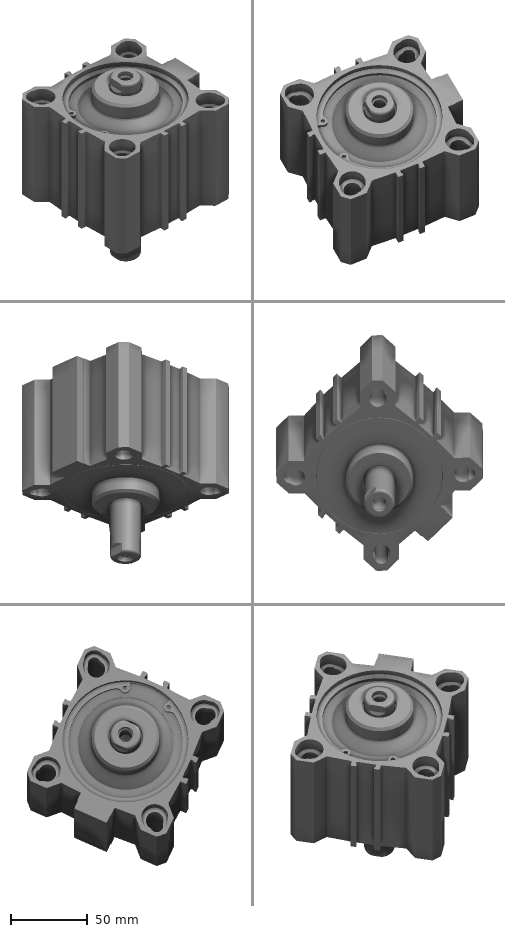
import cadquery as cq
import math

HOUSING_HEIGHT = 76.0
ROD_LENGTH = 142.0
ROD_BELOW = 48.0
HUB_HEIGHT = 10.1

HALF_WIDTH = 50.0
LOBE_CHAMFER = 4.8
LOBE_LENGTH = 11.5
LOBE_DEPTH = 7.2
WALL_FACE = 43.7
FLAT_HALF_WIDTH = 9.7

RAIL_TIP = 47.9
RAIL_STEM_INNER = 6.5
RAIL_LIP_INNER = 6.0
RAIL_LIP_THICKNESS = 2.0
RAIL_ROOT_OVERLAP = 0.7

BOSS_FACE = 55.0
BOSS_TAPER_END = 49.3
BOSS_ROOT_HALF_WIDTH = 12.0
BOSS_TIP_HALF_WIDTH = 11.6

BOLT_OFFSET = 38.5
BOLT_HOLE_DIAMETER = 11.5
BOLT_COUNTERBORE_DIAMETER = 17.5
BOLT_COUNTERBORE_DEPTH = 9.0
RELIEF_OFFSET = 41.2
RELIEF_DIAMETER = 8.4
RELIEF_COUNTERBORE_DIAMETER = 13.3

BORE_DIAMETER = 80.0
SEAT_DIAMETER = 82.1
RING_OUTER_DIAMETER = 85.6
RING_INNER_DIAMETER = 74.5
RING_TOP_DEPTH = 3.7
RING_THICKNESS = 2.4
RING_GAP_HALF_ANGLE = 20.4
LUG_X = 15.6
LUG_Y = -33.4
LUG_DIAMETER = 6.0
WEB_EDGE_Y = -31.2
LUG_HOLE_DIAMETER = 3.0

FLANGE_DIAMETER = 81.6
FLANGE_THICKNESS = 14.2
HUB_DIAMETER = 44.0
HUB_CHAMFER = 1.7
RECESS_DIAMETER = 62.5
RECESS_DEPTH = 0.5
CONE_OUTER_DIAMETER = 61.6
CONE_INNER_DIAMETER = 45.2
CONE_TOP_DEPTH = 1.4
HUB_ROOT_BEVEL_HEIGHT = 0.7
ROD_BORE_DIAMETER = 20.6
WIPER_DIAMETER = 21.9
WIPER_DEPTH = 2.8
WIPER_CHAMFER = 0.5

ROD_DIAMETER = 20.0
ROD_EDGE_RADIUS = 1.8
ACROSS_FLATS = 16.8
FLAT_LENGTH = 5.8
TAP_DIAMETER = 8.4
TAP_DEPTH = 17.0
TAP_MOUTH_DIAMETER = 10.2
TAP_MOUTH_DEPTH = 3.4
TAP_MOUTH_CONE_HEIGHT = 0.7
DRILL_POINT_ANGLE = 118.0

RING_TOP = HOUSING_HEIGHT - RING_TOP_DEPTH
RING_BOTTOM = RING_TOP - RING_THICKNESS
HUB_TOP = HOUSING_HEIGHT + HUB_HEIGHT
ROD_BOTTOM = -ROD_BELOW
ROD_TOP = ROD_BOTTOM + ROD_LENGTH


def disc(diameter, bottom, top, x=0.0, y=0.0):
    """Upright cylinder between two heights."""
    return cq.Workplane("XY", origin=(x, y, bottom)).circle(diameter / 2).extrude(top - bottom)


def turned(profile):
    """Solid of revolution about Z from (radius, z) points."""
    return cq.Workplane("XZ").polyline(profile).close().revolve(360, (0, 0, 0), (0, 1, 0))


def housing_blank():
    """Four equal sides with chamfered corner lobes."""
    lobe_outer = HALF_WIDTH - LOBE_CHAMFER
    lobe_inner = lobe_outer - LOBE_LENGTH
    lobe_root = (lobe_inner - LOBE_DEPTH, HALF_WIDTH - LOBE_DEPTH)
    half_side = [
        (lobe_outer, HALF_WIDTH),
        (lobe_inner, HALF_WIDTH),
        lobe_root,
        (FLAT_HALF_WIDTH, WALL_FACE),
    ]
    side = half_side + [(-x, y) for x, y in reversed(half_side)]
    outline = []
    for _ in range(4):
        outline += side
        side = [(-y, x) for x, y in side]
    return cq.Workplane("XY").polyline(outline).close().extrude(HOUSING_HEIGHT)


def rail_pair():
    """Two facing hooked rails on the +Y side, along the full height."""
    root = WALL_FACE - RAIL_ROOT_OVERLAP
    lip = RAIL_TIP - RAIL_LIP_THICKNESS
    profile = [
        (RAIL_STEM_INNER, root),
        (RAIL_STEM_INNER, lip),
        (RAIL_LIP_INNER, lip),
        (RAIL_LIP_INNER, RAIL_TIP),
        (FLAT_HALF_WIDTH, RAIL_TIP),
        (FLAT_HALF_WIDTH, root),
    ]
    rail = cq.Workplane("XY").polyline(profile).close().extrude(HOUSING_HEIGHT)
    return rail.union(rail.mirror("YZ"))


def port_boss():
    """Slightly tapered block on the +Y side."""
    root = WALL_FACE - RAIL_ROOT_OVERLAP
    half = [
        (BOSS_ROOT_HALF_WIDTH, root),
        (BOSS_ROOT_HALF_WIDTH, BOSS_TAPER_END),
        (BOSS_TIP_HALF_WIDTH, BOSS_TAPER_END),
        (BOSS_TIP_HALF_WIDTH, BOSS_FACE),
    ]
    outline = half + [(-x, y) for x, y in reversed(half)]
    return cq.Workplane("XY").polyline(outline).close().extrude(HOUSING_HEIGHT)


def bolt_hole(sign_x, sign_y):
    """Through hole and counterbore of one corner, each with its relief."""
    floor = HOUSING_HEIGHT - BOLT_COUNTERBORE_DEPTH
    cutter = disc(BOLT_HOLE_DIAMETER, 0, floor, sign_x * BOLT_OFFSET, sign_y * BOLT_OFFSET)
    cutter = cutter.union(disc(RELIEF_DIAMETER, 0, floor, sign_x * RELIEF_OFFSET, sign_y * RELIEF_OFFSET))
    for diameter, offset in (
        (BOLT_COUNTERBORE_DIAMETER, BOLT_OFFSET),
        (RELIEF_COUNTERBORE_DIAMETER, RELIEF_OFFSET),
    ):
        cutter = cutter.union(disc(diameter, floor, HOUSING_HEIGHT, sign_x * offset, sign_y * offset))
    return cutter


def make_housing():
    body = housing_blank().union(port_boss())
    for angle in (90, 180, 270):
        body = body.union(rail_pair().rotate((0, 0, 0), (0, 0, 1), angle))
    for sign_x in (-1, 1):
        for sign_y in (-1, 1):
            body = body.cut(bolt_hole(sign_x, sign_y))
    body = body.cut(disc(BORE_DIAMETER, 0, HOUSING_HEIGHT))
    body = body.cut(disc(SEAT_DIAMETER, 0, FLANGE_THICKNESS))
    body = body.cut(disc(SEAT_DIAMETER, RING_BOTTOM - FLANGE_THICKNESS, HOUSING_HEIGHT))
    return body.cut(disc(RING_OUTER_DIAMETER, RING_BOTTOM, RING_TOP))


def rod_passage(inner_z, outer_z):
    """Rod bore with a wiper recess and chamfered mouth at the hub face."""
    outward = math.copysign(1, outer_z - inner_z)
    wiper_floor = outer_z - outward * WIPER_DEPTH
    return turned([
        (0, inner_z),
        (ROD_BORE_DIAMETER / 2, inner_z),
        (ROD_BORE_DIAMETER / 2, wiper_floor),
        (WIPER_DIAMETER / 2, wiper_floor),
        (WIPER_DIAMETER / 2, outer_z - outward * WIPER_CHAMFER),
        (WIPER_DIAMETER / 2 + WIPER_CHAMFER, outer_z),
        (0, outer_z),
    ])


def make_top_cover():
    """Flange under the retaining ring, rising in a cone to the hub."""
    flange_bottom = RING_BOTTOM - FLANGE_THICKNESS
    recess_floor = RING_BOTTOM - RECESS_DEPTH
    cone_top = HOUSING_HEIGHT - CONE_TOP_DEPTH
    cover = turned([
        (0, flange_bottom),
        (FLANGE_DIAMETER / 2, flange_bottom),
        (FLANGE_DIAMETER / 2, RING_BOTTOM),
        (RECESS_DIAMETER / 2, RING_BOTTOM),
        (RECESS_DIAMETER / 2, recess_floor),
        (CONE_OUTER_DIAMETER / 2, recess_floor),
        (CONE_INNER_DIAMETER / 2, cone_top),
        (HUB_DIAMETER / 2, cone_top + HUB_ROOT_BEVEL_HEIGHT),
        (HUB_DIAMETER / 2, HUB_TOP - HUB_CHAMFER),
        (HUB_DIAMETER / 2 - HUB_CHAMFER, HUB_TOP),
        (0, HUB_TOP),
    ])
    return cover.cut(rod_passage(flange_bottom, HUB_TOP))


def make_bottom_cover():
    """Flange flush with the underside of the housing, with a plain hub."""
    cover = turned([
        (0, FLANGE_THICKNESS),
        (FLANGE_DIAMETER / 2, FLANGE_THICKNESS),
        (FLANGE_DIAMETER / 2, 0),
        (HUB_DIAMETER / 2, 0),
        (HUB_DIAMETER / 2, HUB_CHAMFER - HUB_HEIGHT),
        (HUB_DIAMETER / 2 - HUB_CHAMFER, -HUB_HEIGHT),
        (0, -HUB_HEIGHT),
    ])
    return cover.cut(rod_passage(FLANGE_THICKNESS, -HUB_HEIGHT))


def ring_lug(side):
    """Eyelet at one ring end, joined to the ring by a straight-edged web."""
    gap_angle = math.radians(RING_GAP_HALF_ANGLE)
    inner_radius = RING_INNER_DIAMETER / 2
    middle_radius = (RING_INNER_DIAMETER + SEAT_DIAMETER) / 4
    middle_y = -math.sqrt(middle_radius**2 - LUG_X**2)
    web = [
        (side * LUG_X, WEB_EDGE_Y),
        (side * math.sqrt(inner_radius**2 - WEB_EDGE_Y**2), WEB_EDGE_Y),
        (side * LUG_X, middle_y),
        (side * middle_radius * math.sin(gap_angle), -middle_radius * math.cos(gap_angle)),
        (side * (LUG_X - LUG_DIAMETER / 2), LUG_Y),
    ]
    lug = cq.Workplane("XY", origin=(0, 0, RING_BOTTOM)).polyline(web).close().extrude(RING_THICKNESS)
    return lug.union(disc(LUG_DIAMETER, RING_BOTTOM, RING_TOP, side * LUG_X, LUG_Y))


def make_retaining_ring():
    ring = disc(RING_OUTER_DIAMETER, RING_BOTTOM, RING_TOP)
    ring = ring.cut(disc(RING_INNER_DIAMETER, RING_BOTTOM, RING_TOP))
    gap_half_width = RING_OUTER_DIAMETER * math.tan(math.radians(RING_GAP_HALF_ANGLE))
    gap = (
        cq.Workplane("XY", origin=(0, 0, RING_BOTTOM))
        .polyline([(0, 0), (gap_half_width, -RING_OUTER_DIAMETER), (-gap_half_width, -RING_OUTER_DIAMETER)])
        .close()
        .extrude(RING_THICKNESS)
    )
    ring = ring.cut(gap)
    for side in (-1, 1):
        ring = ring.union(ring_lug(side))
        ring = ring.cut(disc(LUG_HOLE_DIAMETER, RING_BOTTOM, RING_TOP, side * LUG_X, LUG_Y))
    return ring


def wrench_flat():
    """Cutter for the +Y flat at the top end, running out at 45 degrees."""
    flat_y = ACROSS_FLATS / 2
    ramp = ROD_DIAMETER - flat_y
    flat_bottom = ROD_TOP - FLAT_LENGTH
    profile = [
        (flat_y, ROD_TOP),
        (flat_y, flat_bottom),
        (flat_y + ramp, flat_bottom - ramp),
        (flat_y + ramp, ROD_TOP),
    ]
    return cq.Workplane("YZ").polyline(profile).close().extrude(ROD_DIAMETER / 2, both=True)


def tapped_hole():
    """Stepped blind hole with a drill point, in the top end."""
    drill_radius = TAP_DIAMETER / 2
    mouth_radius = TAP_MOUTH_DIAMETER / 2
    mouth_floor = ROD_TOP - TAP_MOUTH_DEPTH
    drill_end = ROD_TOP - TAP_DEPTH
    point_height = drill_radius / math.tan(math.radians(DRILL_POINT_ANGLE / 2))
    return turned([
        (0, ROD_TOP),
        (mouth_radius, ROD_TOP),
        (mouth_radius, mouth_floor),
        (drill_radius, mouth_floor - TAP_MOUTH_CONE_HEIGHT),
        (drill_radius, drill_end),
        (0, drill_end - point_height),
    ])


def make_rod():
    rod = disc(ROD_DIAMETER, ROD_BOTTOM, ROD_TOP).edges("%CIRCLE").fillet(ROD_EDGE_RADIUS)
    middle = (0, 0, (ROD_BOTTOM + ROD_TOP) / 2)
    end_cut = wrench_flat().union(wrench_flat().mirror("XZ")).union(tapped_hole())
    return rod.cut(end_cut).cut(end_cut.mirror("XY", middle))


housing = make_housing()
top_cover = make_top_cover()
bottom_cover = make_bottom_cover()
retaining_ring = make_retaining_ring()
rod = make_rod()

result = cq.Compound.makeCompound([
    housing.val(),
    top_cover.val(),
    bottom_cover.val(),
    retaining_ring.val(),
    rod.val(),
])